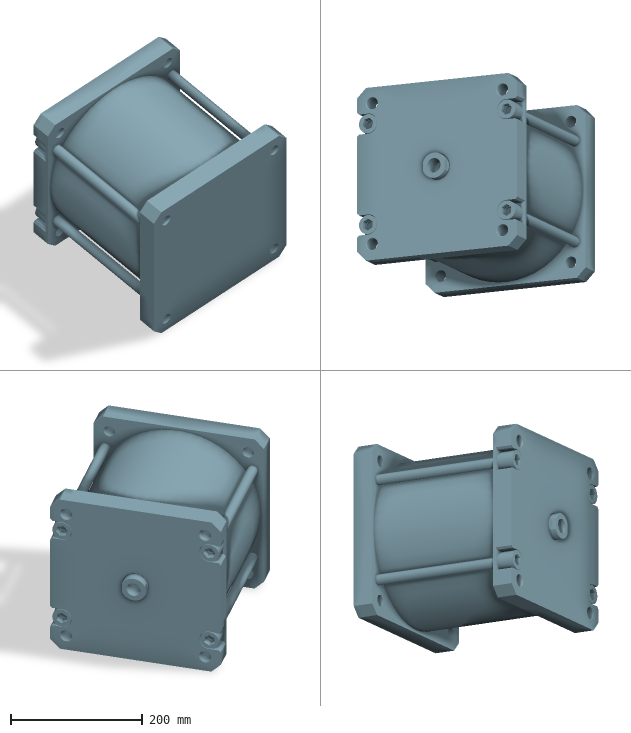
import cadquery as cq
import math

overall_length = 288.0
plate_side = 270.0
plate_thickness = 32.5
rod_protrusion = 11.8
barrel_length = overall_length - rod_protrusion - 2 * plate_thickness
rear_plate_x = plate_thickness + barrel_length
barrel_diameter = 260.0

corner_chamfer = 15.0
mount_hole_diameter = 18.0
mount_hole_offset = 110.0
mount_hole_mouth_chamfer = 1.0

bolt_y = 117.0
bolt_z = 79.0
bolt_head_diameter = 30.0
bolt_head_length = 27.5
bolt_shank_diameter = 16.5
hex_across_flats = 16.0
hex_depth = 10.7
socket_bore_diameter = 14.0
socket_bore_depth = 14.5
upper_hex_angle = 48.0
lower_hex_angle = 30.0
slot_width = 31.5
slot_mouth_chamfer = 3.2

rod_diameter = 40.0
rod_flat_spacing = 36.0
rod_flat_length = 9.5
rod_tip_chamfer = 0.5
rod_hole_diameter = 22.5
rod_hole_depth = 34.5
drill_point_angle = 118.0
bore_mouth_chamfer = 1.5

bolt_centres = [(y, z) for y in (-bolt_y, bolt_y) for z in (-bolt_z, bolt_z)]
mount_hole_centres = [
    (y, z)
    for y in (-mount_hole_offset, mount_hole_offset)
    for z in (-mount_hole_offset, mount_hole_offset)
]


def section_plane(x):
    """Workplane across the axis at x, with local x along Y, local y along Z and normal +X."""
    return cq.Workplane("YZ", origin=(x, 0, 0))


def make_plate(x):
    """Square plate with chamfered corners and four mounting holes, starting at x."""
    plate = section_plane(x).rect(plate_side, plate_side).extrude(plate_thickness)
    plate = plate.edges("|X").chamfer(corner_chamfer)
    holes = section_plane(x).pushPoints(mount_hole_centres).circle(mount_hole_diameter / 2)
    return plate.cut(holes.extrude(plate_thickness))


def make_bolt_slot(y, z):
    """Round-ended slot open to the nearest Y side, with a chamfered mouth."""
    side = math.copysign(1, y)
    edge_y = side * plate_side / 2
    mouth_y = edge_y - side * slot_mouth_chamfer
    half = slot_width / 2
    wide_half = half + slot_mouth_chamfer
    return (
        section_plane(0)
        .moveTo(y, z + half)
        .lineTo(mouth_y, z + half)
        .lineTo(edge_y, z + wide_half)
        .lineTo(edge_y, z - wide_half)
        .lineTo(mouth_y, z - half)
        .lineTo(y, z - half)
        .threePointArc((y - side * half, z), (y, z + half))
        .close()
        .extrude(bolt_head_length)
    )


def make_hole_mouth(y, z, diameter, chamfer):
    """45 degree cone that chamfers a hole at the outer face of the head plate."""
    radius = diameter / 2
    cone = cq.Solid.makeCone(radius + chamfer, radius, chamfer, cq.Vector(0, y, z), cq.Vector(1, 0, 0))
    return cq.Workplane(cone)


def make_head_plate():
    """Plate with the piston rod bore, bolt head slots and bolt shank holes."""
    plate = make_plate(0)
    plate = plate.cut(section_plane(0).circle(rod_diameter / 2).extrude(plate_thickness))
    plate = plate.cut(make_hole_mouth(0, 0, rod_diameter, bore_mouth_chamfer))
    for y, z in mount_hole_centres:
        plate = plate.cut(make_hole_mouth(y, z, mount_hole_diameter, mount_hole_mouth_chamfer))
    shank_holes = section_plane(0).pushPoints(bolt_centres).circle(bolt_shank_diameter / 2)
    plate = plate.cut(shank_holes.extrude(plate_thickness))
    for y, z in bolt_centres:
        plate = plate.cut(make_bolt_slot(y, z))
    return plate


def make_tie_bolt(y, z):
    """Socket-head tie bolt reaching from the head plate to the inner face of the rear plate."""
    head = section_plane(0).center(y, z).circle(bolt_head_diameter / 2).extrude(bolt_head_length)
    shank = section_plane(0).center(y, z).circle(bolt_shank_diameter / 2).extrude(rear_plate_x)
    socket_bore = section_plane(0).center(y, z).circle(socket_bore_diameter / 2).extrude(socket_bore_depth)
    hex_angle = upper_hex_angle if z > 0 else lower_hex_angle
    hex_across_corners = hex_across_flats / math.cos(math.pi / 6)
    hex_socket = (
        section_plane(0)
        .polygon(6, hex_across_corners)
        .extrude(hex_depth)
        .rotate((0, 0, 0), (1, 0, 0), hex_angle)
        .translate((0, y, z))
    )
    return head.union(shank).cut(hex_socket).cut(socket_bore)


def make_rod_flat_cutter(side):
    """Material outside one wrench flat, ending in a 45 degree run-out; side is +1 or -1 along Y."""
    flat_y = rod_flat_spacing / 2
    depth = rod_diameter / 2 - flat_y
    return (
        cq.Workplane("XY", origin=(-rod_protrusion, 0, -rod_diameter / 2))
        .moveTo(0, side * flat_y)
        .lineTo(rod_flat_length, side * flat_y)
        .lineTo(rod_flat_length + depth, side * (flat_y + depth))
        .lineTo(0, side * (flat_y + depth))
        .close()
        .extrude(rod_diameter)
    )


def make_piston_rod():
    """Rod through the head plate with two wrench flats and a drilled hole in its end."""
    rod_length = rod_protrusion + plate_thickness
    rod = section_plane(-rod_protrusion).circle(rod_diameter / 2).extrude(rod_length)
    rod = rod.faces("<X").chamfer(rod_tip_chamfer)
    for side in (-1, 1):
        rod = rod.cut(make_rod_flat_cutter(side))
    hole_radius = rod_hole_diameter / 2
    point_length = hole_radius / math.tan(math.radians(drill_point_angle / 2))
    drilled_hole = (
        cq.Workplane("XY", origin=(-rod_protrusion, 0, 0))
        .lineTo(0, hole_radius)
        .lineTo(rod_hole_depth - point_length, hole_radius)
        .lineTo(rod_hole_depth, 0)
        .close()
        .revolve(360, (0, 0, 0), (1, 0, 0))
    )
    return rod.cut(drilled_hole)


head_plate = make_head_plate()
rear_plate = make_plate(rear_plate_x)
barrel = section_plane(plate_thickness).circle(barrel_diameter / 2).extrude(barrel_length)
piston_rod = make_piston_rod()
tie_bolts = [make_tie_bolt(y, z) for y, z in bolt_centres]

result = cq.Compound.makeCompound(
    [
        head_plate.val(),
        rear_plate.val(),
        barrel.val(),
        piston_rod.val(),
        *[bolt.val() for bolt in tie_bolts],
    ]
)